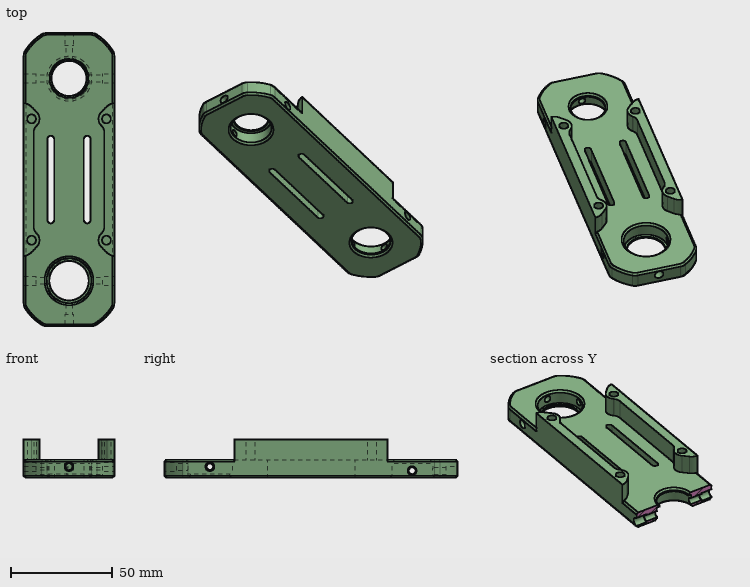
import cadquery as cq

WIDTH = 45.0
LENGTH = 145.0
PLATE_HEIGHT = 9.0
EDGE_CHAMFER = 1.0
END_ARC_RADIUS = 25.67
END_BLEND_RADIUS = 5.0

BORE_Y = 50.0
BORE_CHAMFER = 1.0
FRONT_BORE_DIAMETER = 22.2
FRONT_LIP_DIAMETER = 19.4
FRONT_LIP_HEIGHT = 1.9
REAR_BORE_DIAMETER = 20.25
REAR_LIP_DIAMETER = 17.25
REAR_LIP_HEIGHT = 1.75

SCREW_DIAMETER = 3.4
FRONT_SIDE_SCREW_DIAMETER = 3.2
SCREW_MOUTH_DIAMETER = 4.4
SCREW_MOUTH_DEPTH = 6.0
FRONT_SCREW_Z = 5.5
REAR_SCREW_Z = PLATE_HEIGHT - FRONT_SCREW_Z

SLOT_X = 9.0
SLOT_WIDTH = 3.2
SLOT_CENTRE_DISTANCE = 40.0

TOTAL_HEIGHT = 19.0
RAIL_LENGTH = 75.8
RAIL_THICKNESS = 5.0
RAIL_END_BLEND_RADIUS = 6.5
RAIL_INNER_BLEND_RADIUS = 4.5
BOSS_Y = 30.0
BOSS_PEAK_X = 12.6
BOSS_BLEND_RADIUS = 4.75
BOSS_HOLE_X = 18.5
BOSS_HOLE_DIAMETER = 4.4
BOSS_HOLE_DEPTH = TOTAL_HEIGHT - PLATE_HEIGHT

HALF_WIDTH = WIDTH / 2
HALF_LENGTH = LENGTH / 2
SIDES = (-1, 1)


def make_plate():
    """Flat plate with an end arc about each bore axis and rounded, chamfered edges."""
    plate = cq.Workplane("XY").rect(WIDTH, 2 * BORE_Y).extrude(PLATE_HEIGHT)
    for side in SIDES:
        end = cq.Workplane("XY").center(0, side * BORE_Y)
        square = end.rect(WIDTH, WIDTH).extrude(PLATE_HEIGHT)
        disc = end.circle(END_ARC_RADIUS).extrude(PLATE_HEIGHT)
        plate = plate.union(square.intersect(disc))
    plate = plate.clean().edges("|Z").fillet(END_BLEND_RADIUS)
    return plate.faces("<Z or >Z").edges().chamfer(EDGE_CHAMFER)


def make_rail(side):
    """Upright rail flush with one long side; its 45-degree flanks rise to a peak at each boss."""
    inner_x = HALF_WIDTH - RAIL_THICKNESS
    end_y = RAIL_LENGTH / 2
    end_corner = (BOSS_PEAK_X + end_y - BOSS_Y, end_y)
    peak = (BOSS_PEAK_X, BOSS_Y)
    inner_corner = (inner_x, BOSS_Y - (inner_x - BOSS_PEAK_X))

    outer_x = HALF_WIDTH + RAIL_END_BLEND_RADIUS
    upper_half = [inner_corner, peak, end_corner, (outer_x, end_y)]
    lower_half = [(x, -y) for x, y in reversed(upper_half)]
    base_z = PLATE_HEIGHT - EDGE_CHAMFER
    rail = (
        cq.Workplane("XY", origin=(0, 0, base_z))
        .polyline(upper_half + lower_half)
        .close()
        .extrude(TOTAL_HEIGHT - base_z)
    )
    blends = (
        (end_corner, RAIL_END_BLEND_RADIUS),
        (peak, BOSS_BLEND_RADIUS),
        (inner_corner, RAIL_INNER_BLEND_RADIUS),
    )
    mid_z = (base_z + TOTAL_HEIGHT) / 2
    for (x, y), radius in blends:
        for end in SIDES:
            corner = cq.selectors.NearestToPointSelector((x, end * y, mid_z))
            rail = rail.edges("|Z").edges(corner).fillet(radius)
    rail = rail.intersect(cq.Workplane("XY").rect(WIDTH, LENGTH).extrude(TOTAL_HEIGHT))
    return rail if side > 0 else rail.mirror("YZ")


def bore_cutter(y, bottom_diameter, top_diameter, step_z):
    """Two-diameter bore through the plate, chamfered at both mouths, revolved about its axis."""
    bottom_radius = bottom_diameter / 2
    top_radius = top_diameter / 2
    profile = [
        (0, 0),
        (bottom_radius + BORE_CHAMFER, 0),
        (bottom_radius, BORE_CHAMFER),
        (bottom_radius, step_z),
        (top_radius, step_z),
        (top_radius, PLATE_HEIGHT - BORE_CHAMFER),
        (top_radius + BORE_CHAMFER, PLATE_HEIGHT),
        (0, PLATE_HEIGHT),
    ]
    cutter = cq.Workplane("XZ").polyline(profile).close().revolve(360, (0, 0), (0, 1))
    return cutter.translate((0, y, 0))


def screw_cutter(mouth, direction, diameter):
    """Radial screw hole that is wider near its mouth and ends on the bore axis."""
    start = cq.Vector(*mouth)
    axis = cq.Vector(*direction)
    hole = cq.Solid.makeCylinder(diameter / 2, HALF_WIDTH, start, axis)
    wide = cq.Solid.makeCylinder(SCREW_MOUTH_DIAMETER / 2, SCREW_MOUTH_DEPTH, start, axis)
    return cq.Workplane("XY").add(hole.fuse(wide))


def cut_bores(body):
    """The front bore is open upward with its lip below; the rear bore is the other way up."""
    front = bore_cutter(-BORE_Y, FRONT_LIP_DIAMETER, FRONT_BORE_DIAMETER, FRONT_LIP_HEIGHT)
    rear_step_z = PLATE_HEIGHT - REAR_LIP_HEIGHT
    rear = bore_cutter(BORE_Y, REAR_BORE_DIAMETER, REAR_LIP_DIAMETER, rear_step_z)
    return body.cut(front).cut(rear)


def cut_screw_holes(body):
    """Three screw holes per bore: one from the plate end and one from each long side."""
    bores = (
        (-1, FRONT_SCREW_Z, FRONT_SIDE_SCREW_DIAMETER),
        (1, REAR_SCREW_Z, SCREW_DIAMETER),
    )
    for end, z, side_diameter in bores:
        body = body.cut(screw_cutter((0, end * HALF_LENGTH, z), (0, -end, 0), SCREW_DIAMETER))
        for side in SIDES:
            mouth = (side * HALF_WIDTH, end * BORE_Y, z)
            body = body.cut(screw_cutter(mouth, (-side, 0, 0), side_diameter))
    return body


def cut_slots(body):
    """Two parallel round-ended slots along Y, right through the plate."""
    slots = (
        cq.Workplane("XY")
        .pushPoints([(side * SLOT_X, 0) for side in SIDES])
        .slot2D(SLOT_CENTRE_DISTANCE + SLOT_WIDTH, SLOT_WIDTH, 90)
        .extrude(PLATE_HEIGHT)
    )
    return body.cut(slots)


def cut_boss_holes(body):
    """Blind holes down from the top of the rails, one in each boss."""
    holes = (
        cq.Workplane("XY", origin=(0, 0, TOTAL_HEIGHT))
        .pushPoints([(side * BOSS_HOLE_X, end * BOSS_Y) for side in SIDES for end in SIDES])
        .circle(BOSS_HOLE_DIAMETER / 2)
        .extrude(-BOSS_HOLE_DEPTH)
    )
    return body.cut(holes)


body = make_plate()
for rail_side in SIDES:
    body = body.union(make_rail(rail_side))
body = cut_bores(body)
body = cut_screw_holes(body)
body = cut_slots(body)
result = cut_boss_holes(body)